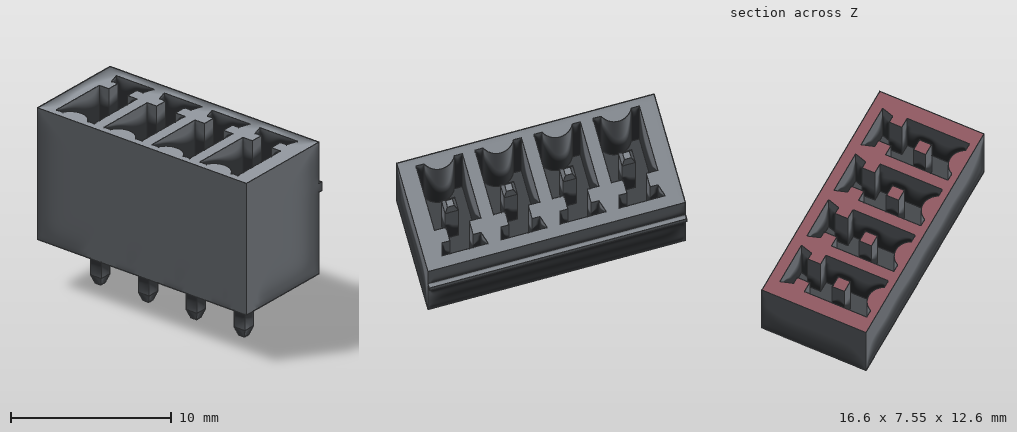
import cadquery as cq
import math


POLE_COUNT = 4
PITCH = 3.81
END_MARGIN = 2.6
BODY_LENGTH = (POLE_COUNT - 1) * PITCH + 2 * END_MARGIN
BODY_DEPTH = 7.25
BODY_HEIGHT = 9.2

RIB_PROJECTION = 0.3
RIB_HEIGHT = 0.6
RIB_BOTTOM = 5.7

FRONT_WALL = 0.5
FLOOR_THICKNESS = 1.2
CHAMBER_WIDTH = 3.0
CHAMBER_REAR = 4.8
NECK_WIDTH = 1.5
NECK_REAR = 5.7
DOVETAIL_FRONT_WIDTH = 2.5
DOVETAIL_REAR = 6.5
KEY_RADIUS = 1.1

PIN_WIDTH = 0.86
PIN_TIP_WIDTH = 0.44
PIN_TAPER = 0.6
PIN_Y = 3.0
PIN_TOP = 7.8
PIN_BOTTOM = -3.4


def make_body():
    body = cq.Workplane("XY").box(BODY_LENGTH, BODY_DEPTH, BODY_HEIGHT, centered=(True, False, False))
    rib = (
        cq.Workplane("XY", origin=(0, BODY_DEPTH, RIB_BOTTOM))
        .box(BODY_LENGTH, RIB_PROJECTION, RIB_HEIGHT, centered=(True, False, False))
    )
    return body.union(rib)


def make_cavity(x):
    """Space for one plug pole: chamber with a round key, neck and dovetail, open at the top."""
    half_chamber = CHAMBER_WIDTH / 2
    half_neck = NECK_WIDTH / 2
    half_dovetail = DOVETAIL_FRONT_WIDTH / 2
    half_key = math.sqrt(KEY_RADIUS**2 - FRONT_WALL**2)
    return (
        cq.Workplane("XY", origin=(x, 0, FLOOR_THICKNESS))
        .moveTo(-half_chamber, FRONT_WALL)
        .lineTo(-half_key, FRONT_WALL)
        .threePointArc((0, KEY_RADIUS), (half_key, FRONT_WALL))
        .lineTo(half_chamber, FRONT_WALL)
        .lineTo(half_chamber, CHAMBER_REAR)
        .lineTo(half_neck, CHAMBER_REAR)
        .lineTo(half_neck, NECK_REAR)
        .lineTo(half_dovetail, NECK_REAR)
        .lineTo(half_chamber, DOVETAIL_REAR)
        .lineTo(-half_chamber, DOVETAIL_REAR)
        .lineTo(-half_dovetail, NECK_REAR)
        .lineTo(-half_neck, NECK_REAR)
        .lineTo(-half_neck, CHAMBER_REAR)
        .lineTo(-half_chamber, CHAMBER_REAR)
        .close()
        .extrude(BODY_HEIGHT - FLOOR_THICKNESS)
    )


def make_pin_tip(x, base_z, direction):
    """Square taper from the full pin at base_z; direction is +1 upwards or -1 downwards."""
    return (
        cq.Workplane("XY", origin=(x, PIN_Y, base_z))
        .rect(PIN_WIDTH, PIN_WIDTH)
        .workplane(offset=direction * PIN_TAPER)
        .rect(PIN_TIP_WIDTH, PIN_TIP_WIDTH)
        .loft(ruled=True)
    )


def make_pin(x):
    shaft_bottom = PIN_BOTTOM + PIN_TAPER
    shaft_top = PIN_TOP - PIN_TAPER
    shaft = (
        cq.Workplane("XY", origin=(x, PIN_Y, shaft_bottom))
        .rect(PIN_WIDTH, PIN_WIDTH)
        .extrude(shaft_top - shaft_bottom)
    )
    return shaft.union(make_pin_tip(x, shaft_top, 1)).union(make_pin_tip(x, shaft_bottom, -1))


result = make_body()
pin_positions = [(i - (POLE_COUNT - 1) / 2) * PITCH for i in range(POLE_COUNT)]
for pin_x in pin_positions:
    result = result.cut(make_cavity(pin_x)).union(make_pin(pin_x))